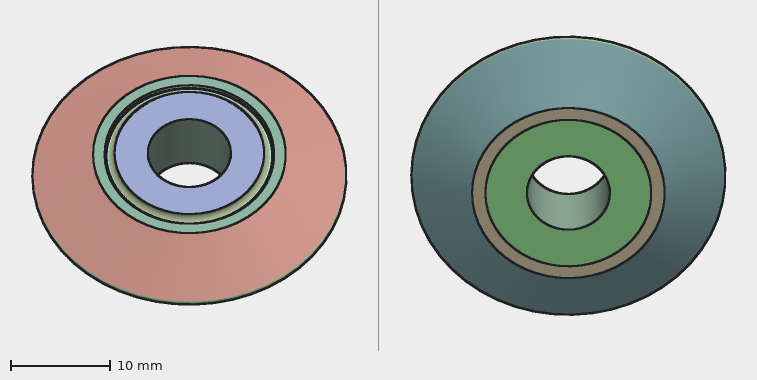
import cadquery as cq
import math

outer_radius = 15.85
ring_height = 7.45
mid_height = ring_height / 2
flank_angle = math.radians(30)
rim_round = 0.32
chamfer_radius = 8.55
chamfer_depth = 0.22
seat_radius = 8.37

bore_radius = 4.18
hub_height = 7.7
boss_radius = 7.55
boss_fillet = 0.6
shoulder_height = hub_height - boss_fillet

rim_half_height = rim_round * math.cos(flank_angle)
rim_edge_radius = outer_radius - rim_round * (1 - math.sin(flank_angle))


def flank_radius(offset):
    """Radius of the conical flank at a vertical offset from the mid plane."""
    return rim_edge_radius - (offset - rim_half_height) / math.tan(flank_angle)


def revolve_profile(profile):
    """Turn a closed radius-height profile around the Z axis."""
    return profile.close().revolve(360, (0, 0, 0), (0, 1, 0))


def make_ring():
    face_radius = flank_radius(mid_height)
    profile = (
        cq.Workplane("XZ")
        .moveTo(seat_radius, 0)
        .lineTo(face_radius, 0)
        .lineTo(rim_edge_radius, mid_height - rim_half_height)
        .threePointArc((outer_radius, mid_height), (rim_edge_radius, mid_height + rim_half_height))
        .lineTo(face_radius, ring_height)
        .lineTo(chamfer_radius, ring_height)
        .lineTo(seat_radius, ring_height - chamfer_depth)
    )
    return revolve_profile(profile)


def make_hub():
    fillet_center_radius = boss_radius + boss_fillet
    diagonal = boss_fillet * math.sqrt(0.5)
    profile = (
        cq.Workplane("XZ")
        .moveTo(bore_radius, 0)
        .lineTo(seat_radius, 0)
        .lineTo(seat_radius, shoulder_height)
        .lineTo(fillet_center_radius, shoulder_height)
        .threePointArc((fillet_center_radius - diagonal, hub_height - diagonal), (boss_radius, hub_height))
        .lineTo(bore_radius, hub_height)
    )
    return revolve_profile(profile)


ring = make_ring()
hub = make_hub()
result = cq.Compound.makeCompound([ring.val(), hub.val()])